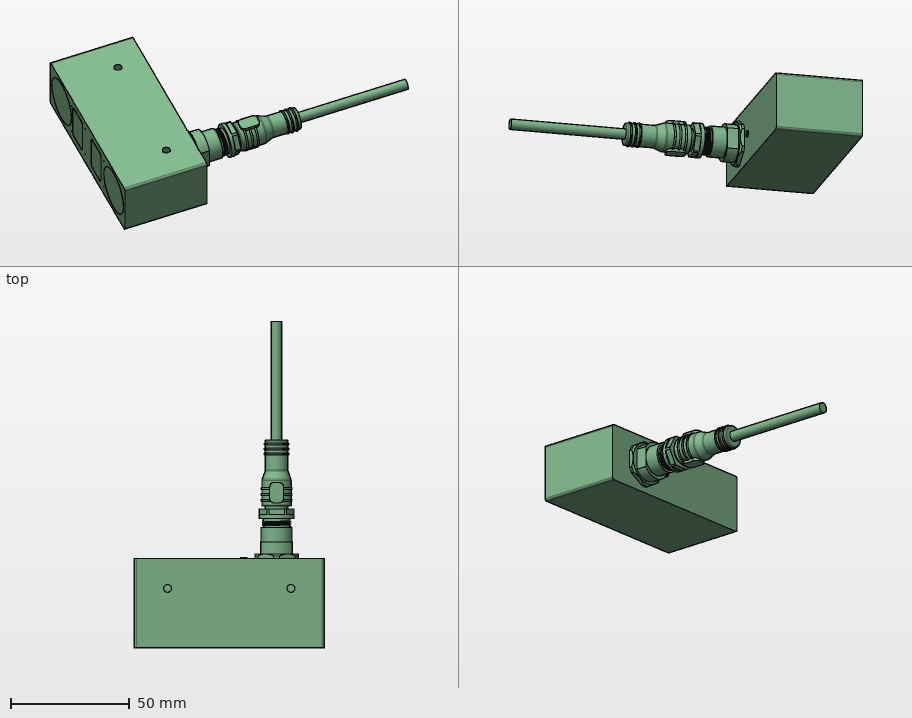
import cadquery as cq
import math

HOUSING_WIDTH = 80.0
HOUSING_DEPTH = 37.6
HOUSING_HEIGHT = 25.0
EDGE_RADIUS = 1.0

FACE_RECESS = 0.1
LENS_DIAMETER = 21.0
LENS_OFFSET = 27.9
WINDOW_WIDTH = 10.3
WINDOW_HEIGHT = 17.0
WINDOW_RADIUS = 1.4
WINDOW_CENTERS_X = (-10.7, 9.0)
PINHOLE_DIAMETER = 0.3
PINHOLE_COLUMNS_X = (-17.3, -2.7, 17.5)
PINHOLE_OFFSET_Z = 7.8

MOUNT_HOLE_DIAMETER = 3.3
MOUNT_HOLE_OFFSET_X = 26.0
MOUNT_HOLE_Y = 25.0
MOUNT_HOLE_DEPTH = 6.9

LAMP_DIAMETER = 2.7
LAMP_X = 6.0
LAMP_HEIGHT = 0.4

CONNECTOR_X = 19.9
PANEL_NUT_END_Y = 39.5
SOCKET_FLATS_END_Y = 44.5
SOCKET_END_Y = 50.7
THREAD_END_Y = 54.4
FLANGE_END_Y = 56.0
CABLE_NUT_END_Y = 58.5
NECK_END_Y = 59.6
GRIP_END_Y = 70.7
TAPER_END_Y = 74.5
SLEEVE_END_Y = 87.5
CABLE_END_Y = 137.3

PANEL_NUT_FLATS = 18.3
PANEL_NUT_DIAMETER = 19.8
PANEL_NUT_CHAMFER = 0.8
SOCKET_DIAMETER = 13.2
SOCKET_FLATS_DIAMETER = 16.0
SOCKET_FLATS = 13.3

THREAD_DIAMETER = 12.0
THREAD_CORE_DIAMETER = 11.1
THREAD_PITCH = 1.0
THREAD_RELIEF = 0.3
THREAD_RIDGE_WIDTH = 0.89
THREAD_RIDGE_EMBED = 0.1
CABLE_NUT_FLATS = 13.2
HALF_HEXAGON_TURN = 30
FLANGE_DIAMETER = 14.7
SLEEVE_DIAMETER = 9.6
GRIP_DIAMETER = 12.4
GRIP_RIB_RADIUS = 0.4
GRIP_RIBS_Y = (62.0, 64.5, 67.0)
SLEEVE_RING_RADIUS = 0.4
SLEEVE_RINGS_Y = (81.5, 83.6, 85.7)
END_ROUNDING = 0.4
TAPER_BLEND_RADIUS = 1.4
PAD_WIDTH = 5.8
PAD_START_Y = 61.0
PAD_END_Y = 69.6
PAD_CORNER_RADIUS = 1.9
PAD_HEIGHT = 13.7
CABLE_DIAMETER = 4.5


def plane_at(y, x=CONNECTOR_X, z=0):
    """Plane whose normal is +Y; its local X is the part's Z, its local Y the part's X."""
    return cq.Workplane(cq.Plane((x, y, z), (0, 0, 1), (0, 1, 0)))


def disc(start_y, end_y, diameter, x=CONNECTOR_X, z=0):
    """Cylinder along Y between two stations."""
    return plane_at(start_y, x, z).circle(diameter / 2).extrude(end_y - start_y)


def hexagon(start_y, end_y, flats):
    """Hexagonal prism with two corners along Z."""
    corner_diameter = flats / math.cos(math.pi / 6)
    return plane_at(start_y).polygon(6, corner_diameter).extrude(end_y - start_y)


def housing_box():
    box = cq.Workplane("XY").box(HOUSING_WIDTH, HOUSING_DEPTH, HOUSING_HEIGHT)
    box = box.edges("|Y").fillet(EDGE_RADIUS)
    return box.translate((0, HOUSING_DEPTH / 2, 0))


def face_recesses():
    recesses = []
    for x in (-LENS_OFFSET, LENS_OFFSET):
        recesses.append(disc(0, FACE_RECESS, LENS_DIAMETER, x))
    for x in WINDOW_CENTERS_X:
        window = plane_at(0, x).rect(WINDOW_HEIGHT, WINDOW_WIDTH).extrude(FACE_RECESS)
        recesses.append(window.edges("|Y").fillet(WINDOW_RADIUS))
    for x in PINHOLE_COLUMNS_X:
        for z in (-PINHOLE_OFFSET_Z, PINHOLE_OFFSET_Z):
            recesses.append(disc(0, FACE_RECESS, PINHOLE_DIAMETER, x, z))
    return recesses


def mounting_holes():
    return (
        cq.Workplane("XY", origin=(0, MOUNT_HOLE_Y, HOUSING_HEIGHT / 2))
        .pushPoints([(-MOUNT_HOLE_OFFSET_X, 0), (MOUNT_HOLE_OFFSET_X, 0)])
        .circle(MOUNT_HOLE_DIAMETER / 2)
        .extrude(-MOUNT_HOLE_DEPTH)
    )


def socket():
    """Chamfered panel nut, then a collar with two flats, then a round barrel."""
    blank = disc(HOUSING_DEPTH, PANEL_NUT_END_Y, PANEL_NUT_DIAMETER).faces(">Y").chamfer(PANEL_NUT_CHAMFER)
    nut = hexagon(HOUSING_DEPTH, PANEL_NUT_END_Y, PANEL_NUT_FLATS).intersect(blank)
    collar_length = SOCKET_FLATS_END_Y - PANEL_NUT_END_Y
    collar = disc(PANEL_NUT_END_Y, SOCKET_FLATS_END_Y, SOCKET_FLATS_DIAMETER).intersect(
        plane_at(PANEL_NUT_END_Y).rect(SOCKET_FLATS_DIAMETER, SOCKET_FLATS).extrude(collar_length)
    )
    barrel = disc(SOCKET_FLATS_END_Y, SOCKET_END_Y, SOCKET_DIAMETER)
    return nut.union(collar).union(barrel)


def build_sensor():
    """Housing with its face details, mounting holes, lamp and connector socket."""
    sensor = housing_box()
    for recess in face_recesses():
        sensor = sensor.cut(recess)
    sensor = sensor.cut(mounting_holes())
    sensor = sensor.union(disc(HOUSING_DEPTH, HOUSING_DEPTH + LAMP_HEIGHT, LAMP_DIAMETER, LAMP_X))
    return sensor.union(socket())


def thread():
    """Core with a helical ridge of triangular section."""
    core_radius = THREAD_CORE_DIAMETER / 2
    crest_radius = THREAD_DIAMETER / 2
    root_radius = core_radius - THREAD_RIDGE_EMBED
    half_width = THREAD_RIDGE_WIDTH / 2
    ridge_length = THREAD_END_Y - THREAD_RELIEF - SOCKET_END_Y
    helix = cq.Wire.makeHelix(THREAD_PITCH, ridge_length - THREAD_RIDGE_WIDTH, core_radius)
    ridge = (
        cq.Workplane("XZ")
        .polyline([(root_radius, -half_width), (crest_radius, 0), (root_radius, half_width)])
        .close()
        .sweep(cq.Workplane(helix), isFrenet=True)
    )
    ridge = ridge.rotate((0, 0, 0), (1, 0, 0), -90).translate((CONNECTOR_X, SOCKET_END_Y + half_width, 0))
    return disc(SOCKET_END_Y, THREAD_END_Y, THREAD_CORE_DIAMETER).union(ridge)


def cable_nut():
    """Hexagon with flats facing up and down, its corners turned down to the flange diameter."""
    nut = hexagon(FLANGE_END_Y, CABLE_NUT_END_Y, CABLE_NUT_FLATS)
    nut = nut.rotate((CONNECTOR_X, 0, 0), (CONNECTOR_X, 1, 0), HALF_HEXAGON_TURN)
    return nut.intersect(disc(FLANGE_END_Y, CABLE_NUT_END_Y, FLANGE_DIAMETER))


def ribs(centers_y, body_diameter, rib_radius):
    """Half-round rings centred on the surface of a round body."""
    axis = cq.Vector(0, 1, 0)
    rings = []
    for y in centers_y:
        center = cq.Vector(CONNECTOR_X, y, 0)
        rings.append(cq.Workplane(cq.Solid.makeTorus(body_diameter / 2, rib_radius, center, axis)))
    return rings


def grip_pad():
    """Flat-topped pad with round corners that stands out above and below the grip."""
    pad_length = PAD_END_Y - PAD_START_Y
    pad = cq.Workplane("XY").box(PAD_WIDTH, pad_length, PAD_HEIGHT)
    pad = pad.edges("|Z").fillet(PAD_CORNER_RADIUS)
    return pad.translate((CONNECTOR_X, PAD_START_Y + pad_length / 2, 0))


def grip_and_sleeve():
    """Grip, cone and sleeve as one turned shape, blended at both ends of the cone."""
    sleeve_radius = SLEEVE_DIAMETER / 2
    grip_radius = GRIP_DIAMETER / 2
    outline = [
        (0, NECK_END_Y),
        (grip_radius, NECK_END_Y),
        (grip_radius, GRIP_END_Y),
        (sleeve_radius, TAPER_END_Y),
        (sleeve_radius, SLEEVE_END_Y),
        (0, SLEEVE_END_Y),
    ]
    body = (
        cq.Workplane("XY", origin=(CONNECTOR_X, 0, 0))
        .polyline(outline)
        .close()
        .revolve(360, (0, 0, 0), (0, 1, 0))
    )
    for y in (GRIP_END_Y, TAPER_END_Y):
        cone_end = cq.selectors.NearestToPointSelector((CONNECTOR_X, y, 0))
        body = body.edges(cone_end).fillet(TAPER_BLEND_RADIUS)
    return body.faces("<Y or >Y").edges().fillet(END_ROUNDING)


def build_plug():
    """Cable plug, from the thread seated on the socket to the free end of the cable."""
    plug = thread()
    sections = [
        disc(THREAD_END_Y, FLANGE_END_Y, FLANGE_DIAMETER),
        cable_nut(),
        disc(CABLE_NUT_END_Y, NECK_END_Y, SLEEVE_DIAMETER),
        grip_and_sleeve(),
        *ribs(GRIP_RIBS_Y, GRIP_DIAMETER, GRIP_RIB_RADIUS),
        *ribs(SLEEVE_RINGS_Y, SLEEVE_DIAMETER, SLEEVE_RING_RADIUS),
        disc(SLEEVE_END_Y, CABLE_END_Y, CABLE_DIAMETER),
        grip_pad(),
    ]
    for section in sections:
        plug = plug.union(section)
    return plug


sensor = build_sensor()
plug = build_plug()
result = cq.Compound.makeCompound([sensor.solids().val(), plug.solids().val()])